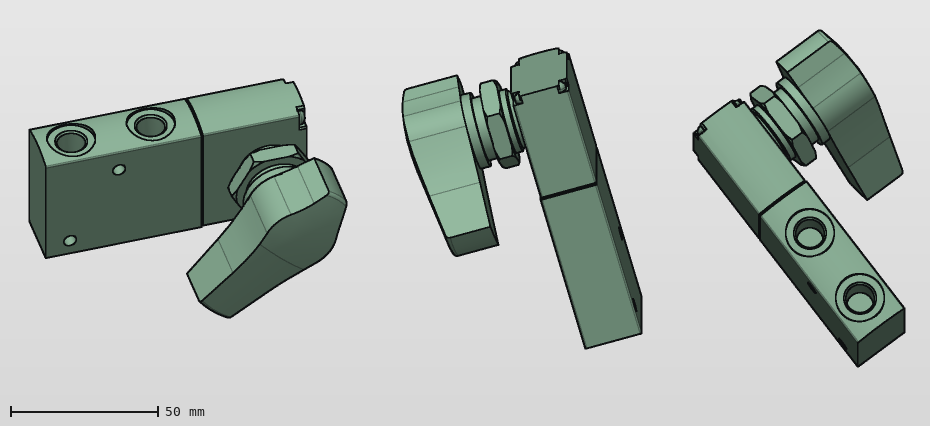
import cadquery as cq
import math


block_width = 20.0
block_top = 22.55
block_bottom = -21.1
crown_sag = 1.6
long_edge_radius = 0.6
block_front = -78.6
block_rear = -23.4

port_pitch = 28.2
port_rear_y = -38.5
port_face_diameter = 16.5
port_face_drop = 1.6
port_mouth_diameter = 9.7
port_bottom_diameter = 9.1
port_rim_diameter = 11.0
port_depth = 13.4

mounting_hole_diameter = 4.4
mounting_hole_places = [(-52.7, 13.0), (-70.05, -15.0)]

head_rear = 14.0
head_side_inset = 0.3
head_bottom_inset = 0.3
seam_width = 0.6
seam_depth = 0.4
seam_side_depth = 0.1

pocket_depth = 2.7
pocket_inner_x = 7.0
pocket_upper_z = 15.1
pocket_lower_z = -15.4
pocket_rim_chamfer = 0.6
screw_head_diameter = 6.8
screw_head_rounding = 1.7
screw_head_x = 5.6
screw_head_upper_z = 17.5
screw_head_lower_z = -17.2

neck_diameter = 22.0
neck_root_diameter = 20.3
neck_waist_diameter = 19.6
neck_root_end_x = 12.0
neck_start_x = 12.5
neck_end_x = 24.5

nut_start_x = 14.7
nut_thickness = 6.0
nut_across_flats = 27.3
nut_face_diameter = 28.6
nut_chamfer_angle = 30

collar_diameter = 26.0
hub_diameter = 26.2
lever_start_x = 27.8
lever_peak_x = 49.5
lever_angle = 45
tip_radius = 41.55
butt_radius = 20.6
tip_half_width = 7.1
butt_half_width = 4.4
tip_flank_angle = 4.8
butt_flank_angle = 24.4
tip_flank_length = 17.0
butt_flank_length = 6.3
tip_hub_angle = 17.0
butt_hub_angle = 31.0
lever_crown_radius = 63.3
lever_peak_offset = 1.0
lever_slope_angle = 9.0
lever_edge_radius = 1.4


def arched_bar(width, bottom, y_front, y_rear, top=block_top):
    """Rectangular bar along Y with an arched top and rounded long edges."""
    half = width / 2
    side_top = top - crown_sag
    bar = (
        cq.Workplane("XZ", origin=(0, y_rear, 0))
        .moveTo(-half, bottom)
        .lineTo(half, bottom)
        .lineTo(half, side_top)
        .threePointArc((0, top), (-half, side_top))
        .close()
        .extrude(y_rear - y_front)
    )
    return bar.edges("|Y").fillet(long_edge_radius)


def cylinder_x(diameter, x_start, x_end):
    """Solid cylinder on the X axis."""
    return cq.Workplane("YZ", origin=(x_start, 0, 0)).circle(diameter / 2).extrude(x_end - x_start)


def port_cutter(y):
    """Spot face, countersink and tapered blind bore of one port."""
    face_z = block_top - port_face_drop
    rim_depth = (port_rim_diameter - port_mouth_diameter) / 2
    profile = [
        (0, block_top),
        (port_face_diameter / 2, block_top),
        (port_face_diameter / 2, face_z),
        (port_rim_diameter / 2, face_z),
        (port_mouth_diameter / 2, face_z - rim_depth),
        (port_bottom_diameter / 2, face_z - port_depth),
        (0, face_z - port_depth),
    ]
    return (
        cq.Workplane("XZ", origin=(0, y, 0))
        .polyline(profile)
        .close()
        .revolve(360, (0, 0, 0), (0, 1, 0))
    )


def make_block():
    """Valve block with two ports and two mounting holes."""
    block = arched_bar(block_width, block_bottom, block_front, block_rear)
    for y in (port_rear_y, port_rear_y - port_pitch):
        block = block.cut(port_cutter(y))
    holes = (
        cq.Workplane("YZ", origin=(-block_width / 2, 0, 0))
        .pushPoints(mounting_hole_places)
        .circle(mounting_hole_diameter / 2)
        .extrude(block_width)
    )
    return block.cut(holes)


def make_neck(x_face):
    """Neck with a rounded waist next to the head."""
    waist_x = (x_face + neck_root_end_x) / 2
    root = neck_root_diameter / 2
    return (
        cq.Workplane("XY")
        .moveTo(0, 0)
        .lineTo(0, root)
        .lineTo(x_face, root)
        .threePointArc((waist_x, neck_waist_diameter / 2), (neck_root_end_x, root))
        .lineTo(neck_start_x, neck_diameter / 2)
        .lineTo(neck_end_x, neck_diameter / 2)
        .lineTo(neck_end_x, 0)
        .close()
        .revolve(360, (0, 0, 0), (1, 0, 0))
    )


def pocket_cutter(half_width, side, vertical, inner_z, rim_z):
    """Prism along Y for one rear corner, flared at the side face and at the top or bottom face.

    side and vertical are +1 or -1; rim_z is the height of the top or bottom face at the pocket.
    """
    chamfer = pocket_rim_chamfer
    outer_x = half_width + chamfer
    outer_z = rim_z + vertical * chamfer
    corners = [
        (pocket_inner_x, inner_z),
        (half_width - chamfer, inner_z),
        (outer_x, inner_z - 2 * vertical * chamfer),
        (outer_x, outer_z),
        (pocket_inner_x - 2 * chamfer, outer_z),
        (pocket_inner_x, rim_z - vertical * chamfer),
    ]
    return (
        cq.Workplane("XZ", origin=(0, head_rear, 0))
        .polyline([(side * x, z) for x, z in corners])
        .close()
        .extrude(pocket_depth)
    )


def cut_pockets(head, half_width, bottom):
    """Cut the four corner pockets; the upper ones open into the arched top."""
    arch_radius = (half_width**2 + crown_sag**2) / (2 * crown_sag)
    arch_z = block_top - arch_radius + math.sqrt(arch_radius**2 - pocket_inner_x**2)
    for side in (-1, 1):
        head = head.cut(pocket_cutter(half_width, side, 1, pocket_upper_z, arch_z))
        head = head.cut(pocket_cutter(half_width, side, -1, pocket_lower_z, bottom))
    return head


def screw_head(x, z):
    """Round button with a domed rear edge, rooted below the pocket floor."""
    button = (
        cq.Workplane("XZ", origin=(x, head_rear, z))
        .circle(screw_head_diameter / 2)
        .extrude(2 * pocket_depth)
    )
    return button.faces(">Y").edges().fillet(screw_head_rounding)


def make_head():
    """Head with a set-back seam, corner pockets with screw heads, and the neck."""
    width = block_width - head_side_inset
    bottom = block_bottom + head_bottom_inset
    head_front = block_rear + seam_width
    head = arched_bar(width, bottom, head_front, head_rear)
    head = cut_pockets(head, width / 2, bottom)
    seam = arched_bar(
        width - 2 * seam_side_depth,
        bottom + seam_depth,
        block_rear,
        head_front,
        block_top - seam_depth,
    )

    for side in (-1, 1):
        for z in (screw_head_upper_z, screw_head_lower_z):
            head = head.union(screw_head(side * screw_head_x, z))
    head = head.union(seam).translate((-head_side_inset / 2, 0, 0))
    return head.union(make_neck(block_width / 2 - head_side_inset))


def make_nut():
    """Hexagon with flats up and down, chamfered at both faces, bored for the neck."""
    corner_diameter = nut_across_flats / math.cos(math.pi / 6)
    nut = (
        cq.Workplane("YZ", origin=(nut_start_x, 0, 0))
        .polygon(6, corner_diameter)
        .extrude(nut_thickness)
    )
    corner_radius = corner_diameter / 2
    face_radius = nut_face_diameter / 2
    chamfer_length = (corner_radius - face_radius) * math.tan(math.radians(nut_chamfer_angle))
    nut_end_x = nut_start_x + nut_thickness
    envelope = (
        cq.Workplane("XY")
        .polyline([
            (nut_start_x, 0),
            (nut_start_x, face_radius),
            (nut_start_x + chamfer_length, corner_radius),
            (nut_end_x - chamfer_length, corner_radius),
            (nut_end_x, face_radius),
            (nut_end_x, 0),
        ])
        .close()
        .revolve(360, (0, 0, 0), (1, 0, 0))
    )
    return nut.intersect(envelope).cut(cylinder_x(neck_diameter, nut_start_x, nut_end_x))


def polar(radius, angle):
    """Point at a radius and an angle in degrees."""
    a = math.radians(angle)
    return (radius * math.cos(a), radius * math.sin(a))


def tangent_arc_middle(start, end, start_angle):
    """Middle point of the arc from start to end that leaves start in direction start_angle."""
    chord_x = end[0] - start[0]
    chord_y = end[1] - start[1]
    half_turn = math.atan2(chord_y, chord_x) - math.radians(start_angle)
    bulge = math.tan(half_turn / 2) / 2
    return (
        (start[0] + end[0]) / 2 + chord_y * bulge,
        (start[1] + end[1]) / 2 - chord_x * bulge,
    )


def make_knob():
    """Lever with a crowned outer face and a round collar that meets the neck."""
    hub_radius = hub_diameter / 2

    tip_corner = (-math.sqrt(tip_radius**2 - tip_half_width**2), tip_half_width)
    butt_corner = (math.sqrt(butt_radius**2 - butt_half_width**2), butt_half_width)
    tip_run = polar(tip_flank_length, tip_flank_angle)
    butt_run = polar(butt_flank_length, 180 - butt_flank_angle)
    tip_bend = (tip_corner[0] + tip_run[0], tip_corner[1] + tip_run[1])
    butt_bend = (butt_corner[0] + butt_run[0], butt_corner[1] + butt_run[1])
    tip_hub = polar(hub_radius, 90 + tip_hub_angle)
    butt_hub = polar(hub_radius, 90 - butt_hub_angle)
    tip_curve = tangent_arc_middle(tip_bend, tip_hub, tip_flank_angle)
    butt_curve = tangent_arc_middle(butt_bend, butt_hub, 180 - butt_flank_angle)

    def mirrored(point):
        return (point[0], -point[1])

    outline = (
        cq.Workplane("YZ", origin=(lever_start_x, 0, 0))
        .moveTo(*tip_corner)
        .lineTo(*tip_bend)
        .threePointArc(tip_curve, tip_hub)
        .threePointArc((0, hub_radius), butt_hub)
        .threePointArc(butt_curve, butt_bend)
        .lineTo(*butt_corner)
        .threePointArc((butt_radius, 0), mirrored(butt_corner))
        .lineTo(*mirrored(butt_bend))
        .threePointArc(mirrored(butt_curve), mirrored(butt_hub))
        .threePointArc((0, -hub_radius), mirrored(tip_hub))
        .threePointArc(mirrored(tip_curve), mirrored(tip_bend))
        .lineTo(*mirrored(tip_corner))
        .threePointArc((-tip_radius, 0), tip_corner)
        .close()
    )
    lever = outline.extrude(lever_peak_x - lever_start_x)

    crown_centre = cq.Vector(lever_peak_x - lever_crown_radius, lever_peak_offset, 0)
    slope = math.radians(lever_slope_angle)
    slope_direction = cq.Vector(-math.sin(slope), -math.cos(slope), 0)
    ball = cq.Workplane("XY", origin=crown_centre.toTuple()).sphere(lever_crown_radius)
    ramp_start = cq.Workplane(cq.Plane(crown_centre, (0, 0, 1), slope_direction))
    ramp = ramp_start.circle(lever_crown_radius).extrude(2 * tip_radius)
    lever = lever.intersect(ball.union(ramp))

    for end in ("<Y", ">Y"):
        lever = lever.faces(end).edges(">X").fillet(lever_edge_radius)

    lever = lever.rotate((0, 0, 0), (1, 0, 0), lever_angle)
    return lever.union(cylinder_x(collar_diameter, neck_end_x, lever_start_x))


block = make_block()
head = make_head()
nut = make_nut()
knob = make_knob()

result = cq.Compound.makeCompound([
    block.solids().val(),
    head.solids().val(),
    nut.solids().val(),
    knob.solids().val(),
])